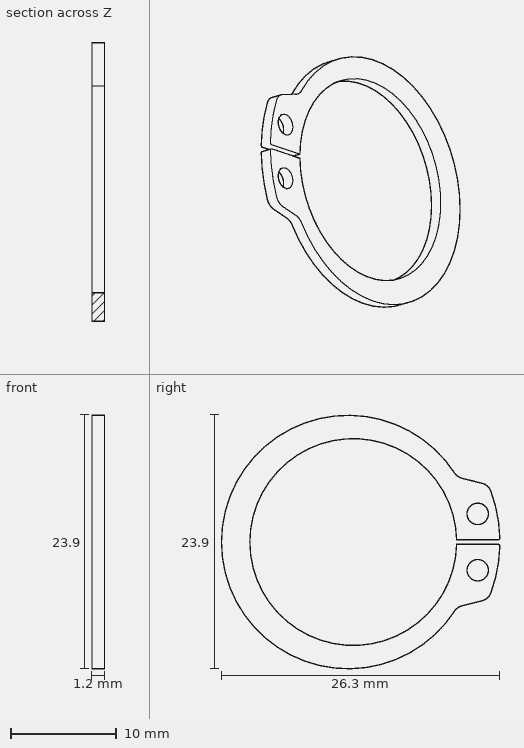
import cadquery as cq
import math

thickness = 1.2
bore_radius = 9.75
rim_radius = 11.975
max_section = 2.7
lug_height = 4.105
gap_width = 0.4

plier_hole_diameter = 2.0
plier_hole_y = 11.75
plier_hole_z = 2.66

flank_z_at_bore_edge = 6.16
flank_angle = 14.0
lug_corner_radius = 1.25
lug_root_radius = 1.2
lug_tip_radius = 0.2

rim_centre_y = rim_radius - (bore_radius + max_section)
lug_radius = bore_radius + lug_height
flank_slope = math.tan(math.radians(flank_angle))


def flank_z(y):
    return flank_z_at_bore_edge - flank_slope * (y - bore_radius)


def disc(radius, centre_y=0):
    return cq.Workplane("YZ").center(centre_y, 0).circle(radius).extrude(thickness / 2, both=True)


def make_lug_block():
    """Both lugs in one piece: a trapezoid trimmed by the lug circle, outer corners rounded."""
    trapezoid = (
        cq.Workplane("YZ")
        .moveTo(0, -flank_z(0))
        .lineTo(lug_radius, -flank_z(lug_radius))
        .lineTo(lug_radius, flank_z(lug_radius))
        .lineTo(0, flank_z(0))
        .close()
        .extrude(thickness / 2, both=True)
    )
    block = trapezoid.intersect(disc(lug_radius))
    return block.edges("|X and (not <Y)").fillet(lug_corner_radius)


def make_blank():
    """Rim disc joined to the lug block, with rounded roots where the flanks meet the rim."""
    blank = disc(rim_radius, rim_centre_y).union(make_lug_block())
    for side in (-1, 1):
        root = cq.selectors.NearestToPointSelector((0, bore_radius, side * flank_z(bore_radius)))
        blank = blank.edges("|X").edges(root).fillet(lug_root_radius)
    return blank


def make_gap():
    return cq.Workplane("XY").box(thickness, lug_radius, gap_width, centered=(True, False, True))


def make_plier_holes():
    return (
        cq.Workplane("YZ")
        .pushPoints([(plier_hole_y, plier_hole_z), (plier_hole_y, -plier_hole_z)])
        .circle(plier_hole_diameter / 2)
        .extrude(thickness / 2, both=True)
    )


def round_lug_tips(ring):
    for side in (-1, 1):
        tip = cq.selectors.NearestToPointSelector((0, lug_radius, side * gap_width / 2))
        ring = ring.edges("|X").edges(tip).fillet(lug_tip_radius)
    return ring


split_ring = make_blank().cut(disc(bore_radius)).cut(make_gap())
result = round_lug_tips(split_ring).cut(make_plier_holes())